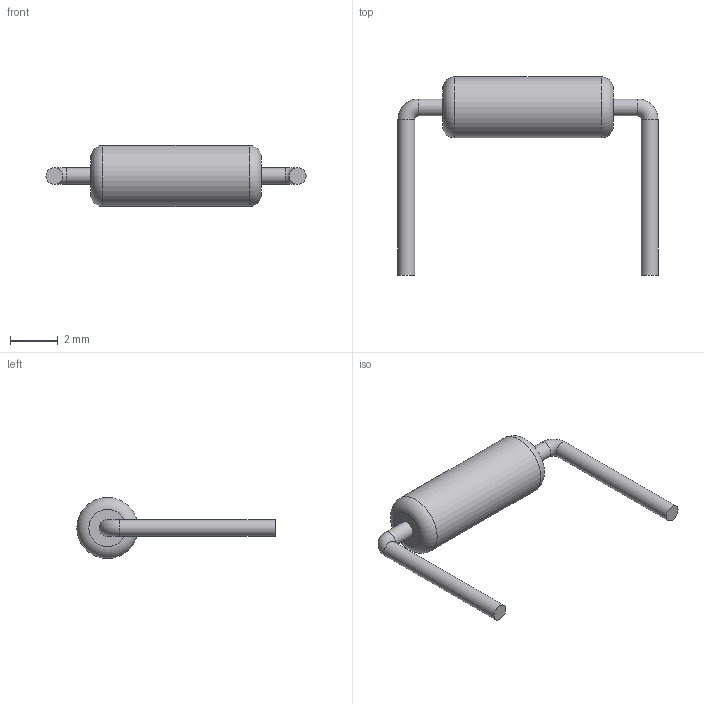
import cadquery as cq

body_diameter = 2.55
body_length = 7.12
body_edge_radius = 0.5

lead_diameter = 0.7
lead_pitch = 10.16
lead_reach = 7.0
bend_radius = 0.5


def make_body():
    left_end = cq.Workplane("YZ", origin=(-body_length / 2, 0, 0))
    cylinder = left_end.circle(body_diameter / 2).extrude(body_length)
    return cylinder.edges("%CIRCLE").fillet(body_edge_radius)


def make_lead_wire():
    """One wire running from tip to tip through the body, bent at both ends."""
    leg_x = lead_pitch / 2
    bend_x = leg_x - bend_radius
    centreline = (
        cq.Workplane("XY")
        .moveTo(-leg_x, -lead_reach)
        .lineTo(-leg_x, -bend_radius)
        .tangentArcPoint((-bend_x, 0), relative=False)
        .lineTo(bend_x, 0)
        .tangentArcPoint((leg_x, -bend_radius), relative=False)
        .lineTo(leg_x, -lead_reach)
    )
    tip_plane = cq.Plane(origin=(-leg_x, -lead_reach, 0), xDir=(1, 0, 0), normal=(0, 1, 0))
    return cq.Workplane(tip_plane).circle(lead_diameter / 2).sweep(centreline)


result = make_body().union(make_lead_wire())